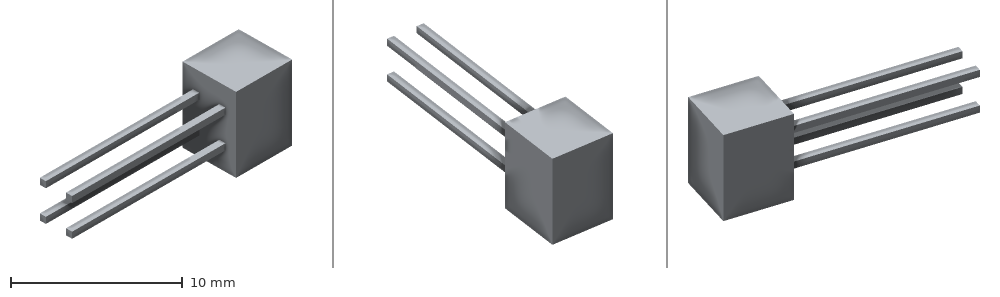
import cadquery as cq

total_length = 17.35
body_width = 4.39
body_depth = 4.65
body_height = 6.1

pin_side = 0.5
pin_pitch_x = 2.15
pin_pitch_z = 2.53
pin_length = total_length - body_depth

body = cq.Workplane("XZ").rect(body_width, body_height).extrude(-body_depth)

pins = (
    cq.Workplane("XZ")
    .rarray(pin_pitch_x, pin_pitch_z, 2, 2)
    .rect(pin_side, pin_side)
    .extrude(pin_length)
)

result = body.union(pins)